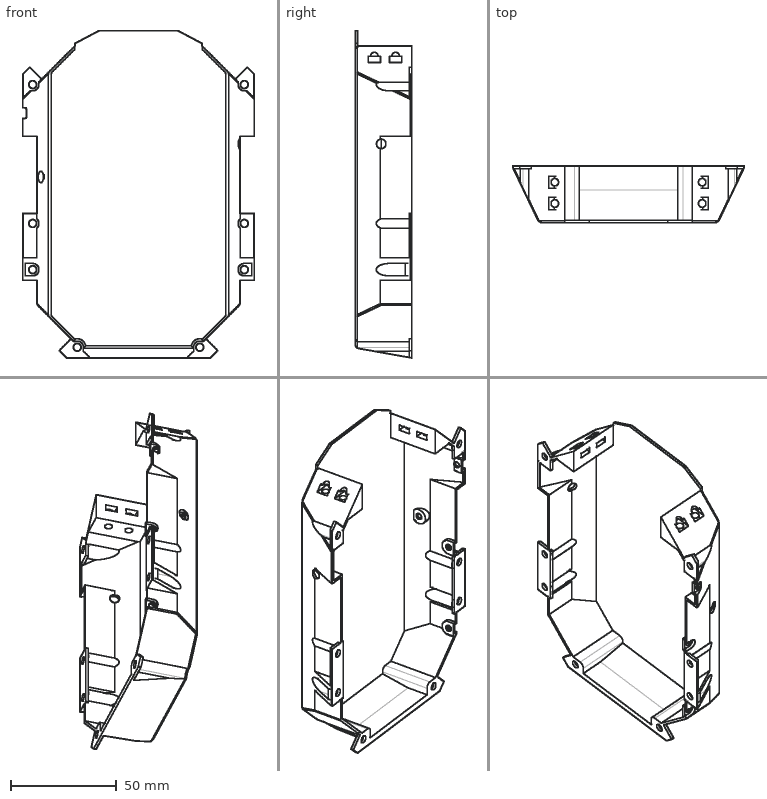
import cadquery as cq
import math

HEIGHT = 154.9
DEPTH = 27.0
WIDTH = 109.5
HALF_WIDTH = WIDTH / 2
WALL = 1.2
EDGE_CHAMFER = 1.1
RIM_Y = 26.2
FRONT_HALF_WIDTH = 42.3
FRONT_BOTTOM = 4.8
DIAGONAL = math.sqrt(2)

UPPER_CORNER = 177.7
LOWER_CORNER = 22.8
CORNER_CHAMFER = 0.5

MOUTH_HALF_WIDTH = 30.0
WALL_TOP = UPPER_CORNER - MOUTH_HALF_WIDTH
PLATE_TOP_HALF_WIDTH = 18.6
PLATE_SHOULDER = 148.9

PANEL_X = 48.0
PANEL_BANDS = [(0.0, 36.7), (47.4, 104.9)]

LUG_THICKNESS = 1.4
LUG_INNER_X = 46.0
SIDE_LUG_TOP = 68.5
SIDE_LUG_BOTTOM = PANEL_BANDS[0][1]
LUG_HOLE_DIAMETER = 3.5
SIDE_HOLE_X = 50.0
SIDE_HOLE_ZS = [41.8, 63.7, 129.3]
FOOT_HOLE_X = 29.0
FOOT_HOLE_Z = 5.1
UPPER_LUG_PEAK = (51.5, 137.5)
FOOT_LUG_TIP = (37.5, 3.5)

CHANNEL_RADIUS = 3.0
SIDE_CHANNEL_END = 53.6
FOOT_RIB_X = 23.4
FOOT_RIB_Z = 9.3
FOOT_RIB_ROUND = 2.3
LEDGE_Y = 15.6

SEAT_Y = 24.2
SEAT_RADIUS = 2.5
SCREW_HOLE_DIAMETER = 3.1
SEATS = [(115.9, -53.0), (73.3, -46.3), (28.2, -46.3)]

RECESS_Y, RECESS_Z, RECESS_FLOOR_X = 8.2, 85.7, -44.6
RECESS_DIAMETER = 5.3
PORT_Y, PORT_Z = 12.4, 101.3
PORT_DIAMETER = 4.5

TIE_YS = [9.1, 19.2]
TIE_HOLE_X = 34.9
TIE_HOLE_DIAMETER = 3.5
TIE_SLOT_BOTTOM, TIE_SLOT_TOP = 139.9, 142.7
TIE_SLOT_WIDTH = 5.7
TIE_BLOCK_BOTTOM = 134.0

SIDE_SLOPE = (HALF_WIDTH - FRONT_HALF_WIDTH) / RIM_Y
BOTTOM_SLOPE = FRONT_BOTTOM / DEPTH


def box(x0, x1, y0, y1, z0, z1):
    return cq.Workplane("XY").box(x1 - x0, y1 - y0, z1 - z0, centered=False).translate((x0, y0, z0))


def plate(points, y0, y1):
    """Outline in X, Z extruded along Y."""
    return cq.Workplane("XZ", origin=(0, y0, 0)).polyline(points).close().extrude(y0 - y1)


def rod_x(y, z, diameter, x0, x1):
    return cq.Workplane("YZ", origin=(x0, y, z)).circle(diameter / 2).extrude(x1 - x0)


def rod_y(x, z, diameter, y0, y1):
    return cq.Workplane("XZ", origin=(x, y0, z)).circle(diameter / 2).extrude(y0 - y1)


def union_all(shapes):
    joined = shapes[0]
    for shape in shapes[1:]:
        joined = joined.union(shape)
    return joined


def both_sides(shape):
    return shape.union(shape.mirror("YZ"))


def envelope(inset):
    """Space inside the sloped sides and the sloped bottom."""
    front = FRONT_HALF_WIDTH - inset * math.hypot(1, SIDE_SLOPE)
    back = HALF_WIDTH - inset
    rim_y = (back - front) / SIDE_SLOPE
    sides = (
        cq.Workplane("XY")
        .polyline([(-front, 0), (front, 0), (back, rim_y), (back, DEPTH), (-back, DEPTH), (-back, rim_y)])
        .close()
        .extrude(HEIGHT)
    )
    low = inset * math.hypot(1, BOTTOM_SLOPE)
    bottom = (
        cq.Workplane("YZ", origin=(-HALF_WIDTH, 0, 0))
        .polyline([(0, FRONT_BOTTOM + low), (DEPTH, low), (DEPTH, HEIGHT), (0, HEIGHT)])
        .close()
        .extrude(WIDTH)
    )
    return sides.intersect(bottom)


def corner_prism(inset):
    """Outline between the four 45 degree corner walls."""
    upper = UPPER_CORNER - inset * DIAGONAL
    lower = LOWER_CORNER - inset * DIAGONAL
    right = [
        (lower, 0),
        (HALF_WIDTH, HALF_WIDTH - lower),
        (HALF_WIDTH, upper - HALF_WIDTH),
        (upper - WALL_TOP, WALL_TOP),
    ]
    left = [(-x, z) for x, z in reversed(right)]
    return plate(right + left, 0, DEPTH)


def panel_cut(inset):
    bands = [
        box(PANEL_X - inset, HALF_WIDTH, 0, DEPTH, low - inset, high + inset) for low, high in PANEL_BANDS
    ]
    return both_sides(union_all(bands))


def side_channels(inset):
    radius = CHANNEL_RADIUS + inset
    y_end = DEPTH - LUG_THICKNESS
    channels = []
    for z in SIDE_HOLE_ZS:
        channels.append(rod_y(SIDE_HOLE_X, z, 2 * radius, 0, y_end))
        channels.append(box(SIDE_HOLE_X, SIDE_CHANNEL_END + inset, 0, y_end, z - radius, z + radius))
    return both_sides(union_all(channels))


def foot_channels():
    y_end = DEPTH - LUG_THICKNESS
    channel = rod_y(FOOT_HOLE_X, FOOT_HOLE_Z, 2 * CHANNEL_RADIUS, 0, y_end)
    below = box(FOOT_HOLE_X - CHANNEL_RADIUS, FOOT_HOLE_X + CHANNEL_RADIUS, 0, y_end, 0, FOOT_HOLE_Z)
    flare = cq.Workplane(
        cq.Solid.makeCone(
            CHANNEL_RADIUS + EDGE_CHAMFER,
            CHANNEL_RADIUS,
            EDGE_CHAMFER,
            pnt=cq.Vector(FOOT_HOLE_X, 0, FOOT_HOLE_Z),
            dir=cq.Vector(0, 1, 0),
        )
    )
    return both_sides(channel.union(below).union(flare))


def foot_ribs():
    rib = box(FOOT_RIB_X, HALF_WIDTH, 0, DEPTH, 0, FOOT_RIB_Z)
    return both_sides(rib.edges("|Y and <X and >Z").fillet(FOOT_RIB_ROUND))


def seats(inset):
    half = SEAT_RADIUS + inset
    recess = rod_x(RECESS_Y, RECESS_Z, RECESS_DIAMETER + 2 * inset, -HALF_WIDTH, RECESS_FLOOR_X + inset)
    pockets = [recess]
    for z, floor in SEATS:
        pockets.append(rod_x(SEAT_Y, z, 2 * half, -HALF_WIDTH, floor + inset))
        pockets.append(box(-HALF_WIDTH, floor + inset, SEAT_Y, DEPTH, z - half, z + half))
    return union_all(pockets)


def chamfer_corners(body):
    """Break the edges where the corner walls meet the sloped sides and the upright panels."""
    upper_zs = (UPPER_CORNER - HALF_WIDTH, UPPER_CORNER - FRONT_HALF_WIDTH)
    lower_zs = (FRONT_HALF_WIDTH - LOWER_CORNER, PANEL_X - LOWER_CORNER + WALL)
    for low, high in (upper_zs, lower_zs):
        zone = cq.selectors.BoxSelector((-HALF_WIDTH, WALL, low), (HALF_WIDTH, RIM_Y, high))
        body = body.edges(zone).chamfer(CORNER_CHAMFER)
    return body


def outer_body():
    body = envelope(0).intersect(corner_prism(0)).cut(panel_cut(0))
    body = chamfer_corners(body)
    body = body.faces("<Y").edges().chamfer(EDGE_CHAMFER)
    return body.cut(foot_channels()).cut(side_channels(0)).cut(seats(0))


def cavity():
    space = envelope(WALL).intersect(corner_prism(WALL))
    space = space.union(box(-MOUTH_HALF_WIDTH, MOUTH_HALF_WIDTH, 0, DEPTH, TIE_BLOCK_BOTTOM, HEIGHT))
    space = space.cut(both_sides(box(MOUTH_HALF_WIDTH, HALF_WIDTH, 0, DEPTH, TIE_BLOCK_BOTTOM, HEIGHT)))
    ledge_z = FRONT_BOTTOM - LEDGE_Y * BOTTOM_SLOPE + WALL
    space = space.cut(box(-HALF_WIDTH, HALF_WIDTH, LEDGE_Y, DEPTH, 0, ledge_z))
    space = space.cut(panel_cut(WALL)).cut(side_channels(WALL)).cut(seats(WALL)).cut(foot_ribs())
    return space.cut(box(-HALF_WIDTH, HALF_WIDTH, 0, WALL, 0, HEIGHT))


def top_plate():
    right = [
        (MOUTH_HALF_WIDTH, WALL_TOP - WALL * DIAGONAL),
        (MOUTH_HALF_WIDTH, PLATE_SHOULDER),
        (PLATE_TOP_HALF_WIDTH, HEIGHT),
    ]
    left = [(-x, z) for x, z in reversed(right)]
    return plate(right + left, 0, WALL)


def lugs():
    y0 = DEPTH - LUG_THICKNESS
    peak_x, peak_z = UPPER_LUG_PEAK
    upper = plate(
        [
            (LUG_INNER_X, UPPER_CORNER - HALF_WIDTH),
            (HALF_WIDTH, UPPER_CORNER - HALF_WIDTH),
            (HALF_WIDTH, peak_z + peak_x - HALF_WIDTH),
            (peak_x, peak_z),
            (LUG_INNER_X, peak_z - peak_x + LUG_INNER_X),
        ],
        y0,
        DEPTH,
    )
    side = box(LUG_INNER_X, HALF_WIDTH, y0, DEPTH, SIDE_LUG_BOTTOM, SIDE_LUG_TOP)
    tip_x, tip_z = FOOT_LUG_TIP
    foot = plate(
        [
            (LOWER_CORNER, 0),
            (tip_x - tip_z, 0),
            (tip_x, tip_z),
            (tip_x + tip_z - FOOT_RIB_Z, FOOT_RIB_Z),
            (FOOT_RIB_X + FOOT_RIB_ROUND, FOOT_RIB_Z),
        ],
        y0,
        DEPTH,
    )
    return both_sides(upper.union(side).union(foot).intersect(envelope(0)))


def lug_holes():
    y0 = DEPTH - LUG_THICKNESS
    places = [(FOOT_HOLE_X, FOOT_HOLE_Z)] + [(SIDE_HOLE_X, z) for z in SIDE_HOLE_ZS]
    return both_sides(union_all([rod_y(x, z, LUG_HOLE_DIAMETER, y0, DEPTH) for x, z in places]))


def side_holes():
    port = rod_x(PORT_Y, PORT_Z, PORT_DIAMETER, 0, HALF_WIDTH)
    places = [(RECESS_Y, RECESS_Z)] + [(SEAT_Y, z) for z, _ in SEATS]
    return union_all([port] + [rod_x(y, z, SCREW_HOLE_DIAMETER, -HALF_WIDTH, 0) for y, z in places])


def tie_points():
    ties = []
    half = TIE_SLOT_WIDTH / 2
    for y in TIE_YS:
        hole = (
            cq.Workplane("XY", origin=(TIE_HOLE_X, y, TIE_BLOCK_BOTTOM))
            .circle(TIE_HOLE_DIAMETER / 2)
            .extrude(HEIGHT - TIE_BLOCK_BOTTOM)
        )
        slot = box(MOUTH_HALF_WIDTH, PANEL_X, y - half, y + half, TIE_SLOT_BOTTOM, TIE_SLOT_TOP)
        ties.append(hole.union(slot))
    return both_sides(union_all(ties))


shell = outer_body().cut(cavity())
result = shell.union(top_plate()).union(lugs()).cut(lug_holes()).cut(side_holes()).cut(tie_points())